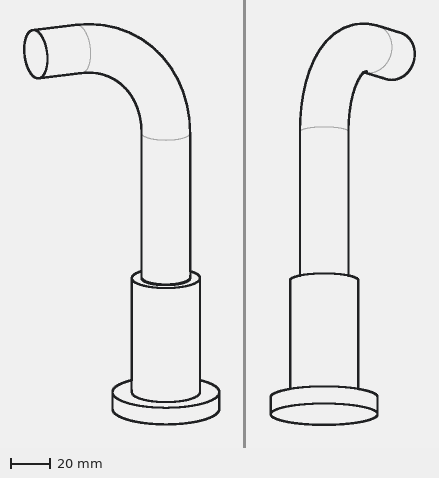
import cadquery as cq
import math

overall_height = 213.6

flange_diameter = 55.0
flange_height = 9.0
collar_diameter = 35.0
collar_top = 70.0
seat_height = 0.5
seat_top = collar_top + seat_height

rod_diameter = 25.0
bend_radius = 52.5
outlet_rise = 2.0
outlet_length = 25.2

rise = math.radians(outlet_rise)
bend_start = overall_height - (
    bend_radius * math.cos(rise)
    + outlet_length * math.sin(rise)
    + rod_diameter / 2 * math.cos(rise)
)


def make_base():
    """Round flange with a collar and the spout seat standing on it, around the Z axis."""
    flange = cq.Workplane("XY").circle(flange_diameter / 2).extrude(flange_height)
    collar = cq.Workplane("XY").circle(collar_diameter / 2).extrude(collar_top)
    seat = cq.Workplane("XY").circle(rod_diameter / 2).extrude(seat_top)
    return flange.union(collar).union(seat)


def make_spout():
    """Round rod that rises from its seat and bends over toward -Y."""
    def bend_point(turn):
        """Point on the bend centreline, as (Y, Z), after a turn in radians."""
        return (
            -bend_radius * (1 - math.cos(turn)),
            bend_start + bend_radius * math.sin(turn),
        )

    full_turn = math.pi / 2 - rise
    bend_end = bend_point(full_turn)
    outlet_end = (
        bend_end[0] - outlet_length * math.cos(rise),
        bend_end[1] + outlet_length * math.sin(rise),
    )
    centreline = (
        cq.Workplane("YZ")
        .moveTo(0, seat_top)
        .lineTo(0, bend_start)
        .threePointArc(bend_point(full_turn / 2), bend_end)
        .lineTo(*outlet_end)
    )
    foot = cq.Workplane("XY").workplane(offset=seat_top).circle(rod_diameter / 2)
    return foot.sweep(centreline)


base = make_base()
spout = make_spout()

result = cq.Compound.makeCompound([base.val(), spout.val()])